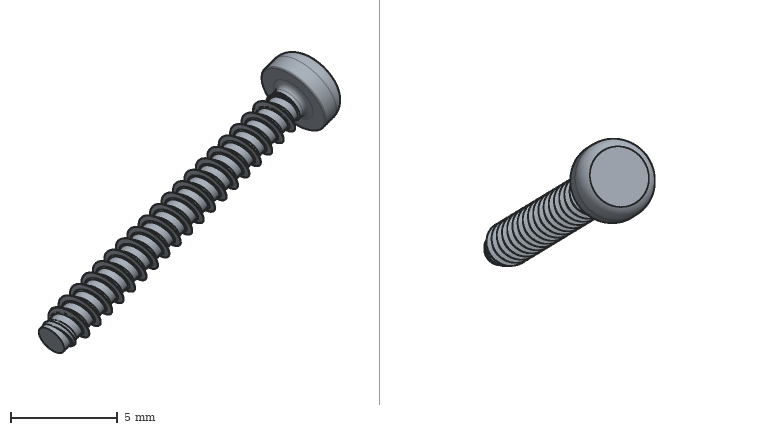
import cadquery as cq
import math


total_length = 19.6

head_radius = 3.9 / 2
head_height = 1.6
head_side_height = 0.82
head_top_radius = 2.9 / 2
head_edge_fillet = 0.05

core_radius = 1.55 / 2
shoulder_radius = 1.72 / 2
neck_fillet = 0.33
shoulder_end = -0.55
shoulder_taper = 0.05

thread_radius = 2.2 / 2
crest_half_width = 0.02
flank_angle = 15.0
flank_foot_radius = 0.85
foot_head_side = 0.45
foot_tip_side = 0.18
bury_depth = 0.05
top_crest = 0.3
helix_length = 18.74
turns = 22
pitch = helix_length / turns

run_in_start = -0.3
run_in_end = -1.27
run_out_start = -16.55
run_out_end = -18.11

tip_height = head_height - total_length


def revolved(outline):
    """Turn a closed (radius, height) outline once round the screw axis."""
    return outline.close().revolve(360, (0, 0, 0), (0, 1, 0))


def make_blank():
    """Head, neck, shoulder and core, without the thread."""
    dome_height = head_height - head_side_height
    dome_inset = head_radius - head_top_radius
    dome_arc_radius = (dome_height**2 + dome_inset**2) / (2 * dome_inset)
    half_sweep = math.asin(dome_height / dome_arc_radius) / 2
    dome_mid = (
        head_radius - dome_arc_radius * (1 - math.cos(half_sweep)),
        head_side_height + dome_arc_radius * math.sin(half_sweep),
    )
    outline = (
        cq.Workplane("XY")
        .moveTo(0, tip_height)
        .lineTo(core_radius, tip_height)
        .lineTo(core_radius, shoulder_end - shoulder_taper)
        .lineTo(shoulder_radius, shoulder_end)
        .lineTo(shoulder_radius, -neck_fillet)
        .radiusArc((shoulder_radius + neck_fillet, 0), neck_fillet)
        .lineTo(head_radius - head_edge_fillet, 0)
        .radiusArc((head_radius, head_edge_fillet), -head_edge_fillet)
        .lineTo(head_radius, head_side_height)
        .threePointArc(dome_mid, (head_top_radius, head_height))
        .lineTo(0, head_height)
    )
    return revolved(outline)


def make_thread_ridge():
    """Full-height ridge, swept along a right-hand helix that starts on the +Z side."""
    flank_rise = thread_radius - flank_foot_radius
    flank_half_width = crest_half_width + flank_rise * math.tan(math.radians(flank_angle))
    buried_radius = core_radius - bury_depth
    start_height = top_crest - helix_length
    section = [
        (buried_radius, -foot_tip_side),
        (flank_foot_radius, -flank_half_width),
        (thread_radius, -crest_half_width),
        (thread_radius, crest_half_width),
        (flank_foot_radius, flank_half_width),
        (buried_radius, foot_head_side),
    ]
    helix = cq.Wire.makeHelix(pitch, helix_length, core_radius)
    ridge = cq.Workplane("XZ").polyline(section).close().sweep(cq.Workplane(helix), isFrenet=True)
    ridge = ridge.translate((0, 0, start_height))
    return ridge.rotate((0, 0, 0), (1, 0, 0), -90).rotate((0, 0, 0), (0, 1, 0), -90)


def make_run_out_envelope():
    """Space that the ridge may fill; its conical ends fade the crest into the core."""
    inside_core = core_radius - 2 * bury_depth
    outside_thread = thread_radius + bury_depth
    outline = (
        cq.Workplane("XY")
        .moveTo(0, run_out_end)
        .lineTo(inside_core, run_out_end)
        .lineTo(outside_thread, run_out_start)
        .lineTo(outside_thread, run_in_end)
        .lineTo(inside_core, run_in_start)
        .lineTo(0, run_in_start)
    )
    return revolved(outline)


thread = make_thread_ridge().intersect(make_run_out_envelope())
result = make_blank().union(thread, clean=False)